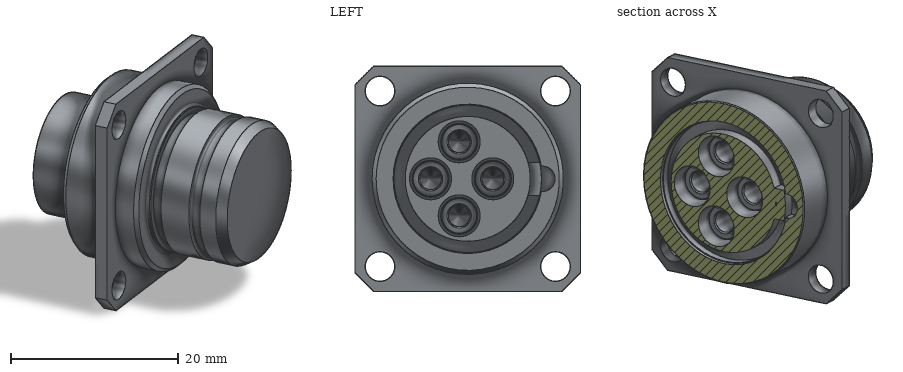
import cadquery as cq
import math

length = 26.65
key_front = 5.67
shell_front = 5.95
flange_front = 11.58
flange_thickness = 1.62
shell_back = 16.15
collar_back = 16.63
barrel_front = 18.05
ring_groove_front = 21.82
ring_groove_back = 23.3

insert_radius = 7.48
shell_radius = 11.45
collar_radius = 8.95
neck_radius = 8.13
barrel_radius = 8.9
ring_groove_radius = 8.32

shell_front_chamfer = (0.57, 0.49)
shell_back_chamfer = (0.45, 0.45)
barrel_end_chamfer = (1.2, 0.7)
collar_chamfer = 0.1
collar_fillet = 0.32
ring_groove_fillet = 0.25

flange_side = 27.0
flange_corner_chamfer = 2.25
mount_hole_pitch = 21.0
mount_hole_radius = 1.75

socket_mouth_radius = 8.95
socket_mouth_depth = 0.9
socket_radius = 8.83
socket_depth = 1.9

key_width = 3.95
notch_radius = 1.5

contact_centres = [(1.03, 4.43), (4.45, 0), (1.03, -4.43), (-3.0, 0)]
cavity_radius = 2.5
cavity_depth = 10.8
contact_radius = 2.21
contact_front = 8.1
contact_chamfer = 0.14
contact_bore_radius = 1.3
contact_lead_in = 0.15
contact_bore_depth = 4.05
bore_tip_angle = 118.0


def disc(start, end, radius, y=0, z=0):
    """Cylinder along X from start to end, centred at (y, z)."""
    return cq.Workplane("YZ", origin=(start, y, z)).circle(radius).extrude(end - start)


def turned_body():
    front_run, front_drop = shell_front_chamfer
    back_run, back_drop = shell_back_chamfer
    end_run, end_drop = barrel_end_chamfer
    groove_blend = ring_groove_fillet * (1 - math.sqrt(0.5))
    collar_blend = collar_fillet * (1 - math.sqrt(0.5))
    profile = (
        cq.Workplane("XY")
        .moveTo(0, 0)
        .lineTo(0, insert_radius)
        .lineTo(shell_front, insert_radius)
        .lineTo(shell_front, shell_radius - front_drop)
        .lineTo(shell_front + front_run, shell_radius)
        .lineTo(shell_back - back_run, shell_radius)
        .lineTo(shell_back, shell_radius - back_drop)
        .lineTo(shell_back, collar_radius + collar_fillet)
        .threePointArc(
            (shell_back + collar_blend, collar_radius + collar_blend),
            (shell_back + collar_fillet, collar_radius),
        )
        .lineTo(collar_back - collar_chamfer, collar_radius)
        .lineTo(collar_back, collar_radius - collar_chamfer)
        .lineTo(collar_back, neck_radius)
        .lineTo(barrel_front, neck_radius)
        .lineTo(barrel_front, barrel_radius)
        .lineTo(ring_groove_front, barrel_radius)
        .lineTo(ring_groove_front, ring_groove_radius + ring_groove_fillet)
        .threePointArc(
            (ring_groove_front + groove_blend, ring_groove_radius + groove_blend),
            (ring_groove_front + ring_groove_fillet, ring_groove_radius),
        )
        .lineTo(ring_groove_back - ring_groove_fillet, ring_groove_radius)
        .threePointArc(
            (ring_groove_back - groove_blend, ring_groove_radius + groove_blend),
            (ring_groove_back, ring_groove_radius + ring_groove_fillet),
        )
        .lineTo(ring_groove_back, barrel_radius)
        .lineTo(length - end_run, barrel_radius)
        .lineTo(length, barrel_radius - end_drop)
        .lineTo(length, 0)
        .close()
    )
    return profile.revolve(360, (0, 0, 0), (1, 0, 0))


def flange():
    return (
        cq.Workplane("YZ", origin=(flange_front, 0, 0))
        .rect(flange_side, flange_side)
        .extrude(flange_thickness)
        .edges("|X")
        .chamfer(flange_corner_chamfer)
        .faces("<X")
        .workplane(origin=(flange_front, 0, 0))
        .rect(mount_hole_pitch, mount_hole_pitch, forConstruction=True)
        .vertices()
        .hole(2 * mount_hole_radius)
    )


def annular_socket():
    mouth = disc(shell_front, shell_front + socket_mouth_depth, socket_mouth_radius)
    deep = disc(shell_front, shell_front + socket_depth, socket_radius)
    core = disc(shell_front, shell_front + socket_depth, insert_radius)
    return mouth.union(deep).cut(core)


def index_notch():
    return disc(shell_front, shell_front + socket_depth, notch_radius, y=-socket_mouth_radius)


def key():
    """Block on the -Y side of the insert, rounded outside to the socket radius."""
    key_back = shell_front + socket_depth
    block = (
        cq.Workplane("XY", origin=(key_front, -socket_radius, 0))
        .box(key_back - key_front, socket_radius, key_width, centered=(False, False, True))
    )
    ring = disc(key_front, key_back, socket_radius).cut(disc(key_front, key_back, insert_radius))
    return block.intersect(ring)


def contact_bore(y, z):
    """Drilled bore of a socket contact, with a tapered lead-in and a conical bottom."""
    bore_end = contact_front + contact_bore_depth
    tip_length = contact_bore_radius / math.tan(math.radians(bore_tip_angle / 2))
    profile = (
        cq.Workplane("XY", origin=(0, y, z))
        .moveTo(contact_front, 0)
        .lineTo(contact_front, contact_bore_radius + contact_lead_in)
        .lineTo(contact_front + contact_lead_in, contact_bore_radius)
        .lineTo(bore_end, contact_bore_radius)
        .lineTo(bore_end + tip_length, 0)
        .close()
    )
    return profile.revolve(360, (0, 0, 0), (1, 0, 0))


def contact_cavity(y, z):
    """Void around one socket contact, including the contact's own bore."""
    contact = disc(contact_front, cavity_depth, contact_radius, y, z)
    contact = contact.faces("<X").chamfer(contact_chamfer)
    return disc(0, cavity_depth, cavity_radius, y, z).cut(contact).union(contact_bore(y, z))


result = turned_body().union(flange())
result = result.cut(annular_socket()).cut(index_notch()).union(key())
for centre_y, centre_z in contact_centres:
    result = result.cut(contact_cavity(centre_y, centre_z))